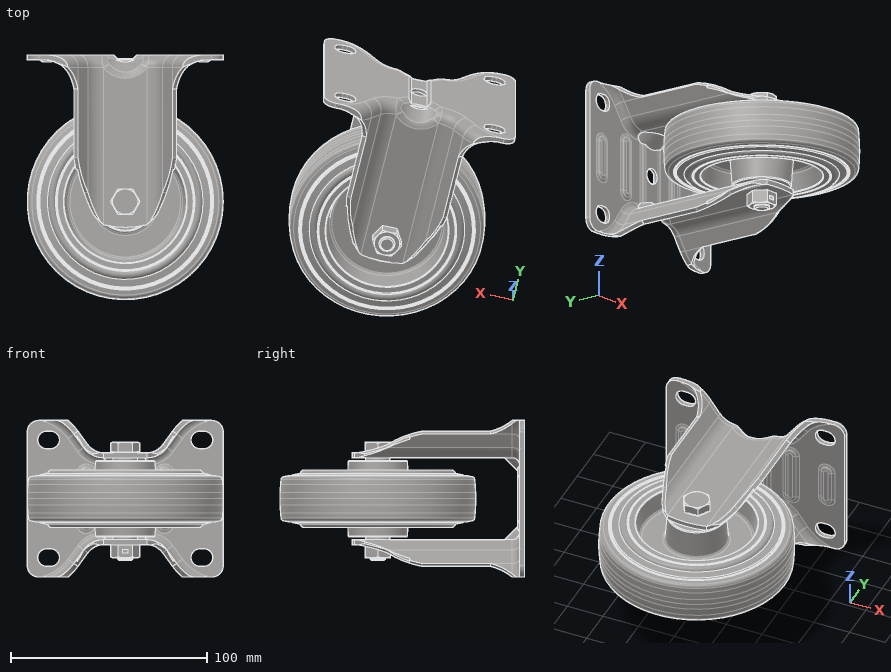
import cadquery as cq
import math


wheel_radius = 50.02
plate_width = 100.0
plate_height = 80.0
plate_back = 124.9 - wheel_radius
plate_corner_radius = 6.0
sheet = 2.6
plate_front = plate_back - sheet

web_inner = 20.9
web_outer = web_inner + sheet
web_half_width = 11.0
flange_angle = 54.0
channel_radius = 10.0
plate_bend_radius = 3.7
flange_reach = 42.1
flare_reach = 56.2
flare_start_y = 57.3
flare_middle = (45.5, 64.2)
ear_radius = 30.0
ear_angle = 20.0
nose_center_y = -13.1
nose_corner_y = -11.9
nose_neck = (16.1, -6.9)
nose_side = (21.1, 4.7)
nose_shoulder = (24.4, 16.2)
taper_start_y = 22.5
taper_middle = (39.3, 14.4)
taper_knee = (33.5, 4.7)
taper_end = (26.9, -9.4)

slot_length = 11.0
slot_width = 8.7
slot_x = 39.1
slot_z = 30.0
plate_hole_diameter = 8.2
rib_height = 1.1
rib_base = 4.6
rib_top = 1.2
long_rib_x = 20.0
long_rib_half_length = 17.7
short_rib_x = 40.0
short_rib_half_length = 13.1
pad_base = 8.6
pad_top = 4.9
pad_half_length = 17.0
recess_depth = 2.0
recess_mouth = 5.9
recess_floor = 4.0
gusset_radius = 16.0
gusset_sheet = 2.0
gusset_edge_fillet = 4.4
gusset_leg = 7.7

axle_radius = 4.0
sleeve_radius = 6.18
hex_flats = 13.0
head_height = 5.4
head_washer_radius = 6.2
head_washer_height = 0.4
nut_height = 6.6
thread_stub = 1.4
thread_chamfer = 0.7
hex_bevel = 0.4
nut_mark_width = 3.0
nut_mark_height = 1.6
nut_mark_depth = 0.4

hub_half_length = 19.6
hub_end_radius = 15.1
hub_root_radius = 16.2
hub_bevel = 0.5
hub_fillet = 1.0
disc_half_thickness = 3.7
disc_radius = 28.2
disc_fillet = 1.0
rim_inner_radius = 31.2
rim_outer_radius = 35.1
rim_half_width = 14.1
rim_bevel = 0.4
lip_start = (35.6, 14.0)
lip_crown = (38.2, 14.6)
lip_end = (39.65, 13.0)
tread_radius = 44.3
groove_half_width = 0.7
groove_floor_half_width = 0.4
groove_depth = 0.6
shoulder = (47.7, 11.4)
shoulder_rounding = (49.0, 10.9)
crown_points = [(49.5, 9.9), (49.7, 7.2), (50.0, 3.1)]

SLOPE_COS = math.cos(math.radians(flange_angle))
SLOPE_SIN = math.sin(math.radians(flange_angle))
FAR = 75.0
MARGIN = 0.1


def arc_point(center, radius, angle):
    return (
        center[0] + radius * math.cos(math.radians(angle)),
        center[1] + radius * math.sin(math.radians(angle)),
    )


def channel_block(offset, back_y, back_fillet):
    """Solid on the wheel side of one channel surface, its rear edge rounded into the plate.

    The surface lies below the outer channel surface by the offset.
    """
    web_z = web_outer - offset
    bend_radius = channel_radius + offset
    curl_radius = ear_radius - offset
    bend_center = (web_half_width, web_z + bend_radius)
    bend_end = arc_point(bend_center, bend_radius, flange_angle - 90)
    bend_middle = arc_point(bend_center, bend_radius, flange_angle / 2 - 90)
    curl_rise = flange_reach - (bend_center[0] * SLOPE_COS + bend_center[1] * SLOPE_SIN)
    curl_start = (bend_end[0] + curl_rise * SLOPE_COS, bend_end[1] + curl_rise * SLOPE_SIN)
    curl_center = arc_point(curl_start, curl_radius, flange_angle - 90)
    curl_middle = arc_point(curl_center, curl_radius, (flange_angle + ear_angle) / 2 + 90)
    curl_end = arc_point(curl_center, curl_radius, ear_angle + 90)
    far_end = (FAR, curl_end[1] + (FAR - curl_end[0]) * math.tan(math.radians(ear_angle)))
    block = (
        cq.Workplane("XZ", origin=(0, back_y, 0))
        .moveTo(0, 0)
        .lineTo(FAR, 0)
        .lineTo(*far_end)
        .lineTo(*curl_end)
        .threePointArc(curl_middle, curl_start)
        .lineTo(*bend_end)
        .threePointArc(bend_middle, (web_half_width, web_z))
        .lineTo(0, web_z)
        .close()
        .extrude(back_y + FAR)
    )
    block = block.union(block.mirror("YZ")).clean()
    rear_edge = cq.selectors.BoxSelector(
        (MARGIN - FAR, back_y - MARGIN, MARGIN), (FAR - MARGIN, back_y + MARGIN, 2 * FAR)
    )
    return block.edges(rear_edge).fillet(back_fillet)


def gusset_cylinder(radius):
    """Cylinder lying at 45 degrees across the corner between plate and web."""
    crest_y = plate_front - gusset_leg
    lift = gusset_radius / math.sqrt(2)
    plane = cq.Plane(
        origin=(0, crest_y + lift, web_inner + lift), xDir=(1, 0, 0), normal=(0, -1, 1)
    )
    return cq.Workplane(plane).circle(radius).extrude(FAR, both=True)


def flange_trim():
    """Everything beyond the edge of the flange at +X, cut square to the flange."""
    plane = cq.Plane(
        origin=(0, 0, 0), xDir=(SLOPE_COS, 0, SLOPE_SIN), normal=(-SLOPE_SIN, 0, SLOPE_COS)
    )
    return (
        cq.Workplane(plane)
        .moveTo(flare_reach, plate_front)
        .threePointArc(flare_middle, (flange_reach, flare_start_y))
        .lineTo(flange_reach, taper_start_y)
        .threePointArc(taper_middle, taper_knee)
        .lineTo(*taper_end)
        .lineTo(taper_end[0], -FAR)
        .lineTo(2 * FAR, -FAR)
        .lineTo(2 * FAR, plate_front)
        .close()
        .extrude(FAR, both=True)
    )


def nose_envelope():
    """Outline of the arm along the axle: narrowing towards a rounded nose at the wheel end."""
    def at_left(point):
        return (-point[0], point[1])

    nose_corner = (web_half_width, nose_corner_y)
    return (
        cq.Workplane("XY")
        .moveTo(-FAR, plate_back)
        .lineTo(-FAR, taper_start_y)
        .lineTo(*at_left(nose_shoulder))
        .threePointArc(at_left(nose_side), at_left(nose_neck))
        .lineTo(*at_left(nose_corner))
        .threePointArc((0, nose_center_y), nose_corner)
        .lineTo(*nose_neck)
        .threePointArc(nose_side, nose_shoulder)
        .lineTo(FAR, taper_start_y)
        .lineTo(FAR, plate_back)
        .close()
        .extrude(FAR)
    )


def plate_outline():
    return (
        cq.Workplane("XZ", origin=(0, plate_back, 0))
        .rect(plate_width, plate_height)
        .extrude(plate_back + FAR)
        .edges("|Y")
        .fillet(plate_corner_radius)
    )


def half_fork():
    """Upper half of the fork: half the plate and one arm."""
    outer = channel_block(0, plate_back, plate_bend_radius + sheet)
    inner = channel_block(sheet, plate_front, plate_bend_radius)
    gusset = gusset_cylinder(gusset_radius).intersect(outer)
    body = outer.cut(inner).union(gusset)
    body = body.cut(gusset_cylinder(gusset_radius - gusset_sheet))
    dimple_rim = cq.selectors.BoxSelector(
        (-web_half_width, plate_front - 2 * gusset_leg, web_outer - MARGIN),
        (web_half_width, plate_front - gusset_leg / 2, web_outer + MARGIN),
    )
    body = body.edges(dimple_rim).fillet(gusset_edge_fillet)
    trim = flange_trim()
    body = body.cut(trim).cut(trim.mirror("YZ"))
    return body.intersect(nose_envelope()).intersect(plate_outline())


def bulge_profile(top, base):
    """Half section of a stamped bulge: a flat top and an S-shaped side down to the plate."""
    return (
        cq.Workplane("XY")
        .moveTo(0, plate_front - rib_height)
        .lineTo(top, plate_front - rib_height)
        .tangentArcPoint(((top + base) / 2, plate_front - rib_height / 2), relative=False)
        .tangentArcPoint((base, plate_front), relative=False)
        .lineTo(0, plate_front)
        .close()
    )


def straight_bulge(top, base, half_length):
    side = bulge_profile(top, base).extrude(half_length, both=True)
    return side.union(side.mirror("YZ"))


def plate_rib(x, half_length):
    """Raised rib along Z with round ends."""
    straight = half_length - rib_base
    rib = straight_bulge(rib_top, rib_base, straight)
    end = bulge_profile(rib_top, rib_base).revolve(360, (0, 0, 0), (0, 1, 0))
    for z in (-straight, straight):
        rib = rib.union(end.translate((0, 0, z)))
    return rib.translate((x, 0, 0))


def back_recess():
    """Channel pressed into the back of the plate behind the middle pad."""
    return (
        cq.Workplane("XY")
        .moveTo(-recess_mouth, plate_back)
        .lineTo(-recess_floor, plate_back - recess_depth)
        .lineTo(recess_floor, plate_back - recess_depth)
        .lineTo(recess_mouth, plate_back)
        .close()
        .extrude(FAR, both=True)
    )


def make_fork():
    upper = half_fork()
    fork = upper.union(upper.mirror("XY"))
    fork = fork.union(straight_bulge(pad_top, pad_base, pad_half_length))
    for side in (-1, 1):
        fork = fork.union(plate_rib(side * long_rib_x, long_rib_half_length))
        fork = fork.union(plate_rib(side * short_rib_x, short_rib_half_length))
    mounting = cq.Workplane("XZ", origin=(0, plate_back, 0))
    slot_centers = [(x, z) for x in (-slot_x, slot_x) for z in (-slot_z, slot_z)]
    slots = mounting.pushPoints(slot_centers).slot2D(slot_length, slot_width).extrude(2 * sheet)
    hole = mounting.circle(plate_hole_diameter / 2).extrude(2 * sheet)
    axle_holes = cq.Workplane("XY").circle(axle_radius).extrude(FAR, both=True)
    return fork.cut(back_recess()).cut(slots).cut(hole).cut(axle_holes)


def hexagon(height, z):
    """Hexagonal prism with two flats facing along Y."""
    corner_diameter = hex_flats / math.cos(math.radians(30))
    return cq.Workplane("XY").workplane(offset=z).polygon(6, corner_diameter).extrude(height)


def bevel_cone(z, direction):
    """Cone that knocks the corners off the outer end of a hexagon ending at z."""
    radius = hex_flats / 2
    return (
        cq.Workplane("XZ")
        .moveTo(0, z)
        .lineTo(radius, z)
        .lineTo(radius + 2 * FAR, z - direction * FAR)
        .lineTo(0, z - direction * FAR)
        .close()
        .revolve(360, (0, 0, 0), (0, 1, 0))
    )


def make_bolt():
    head_top = web_outer + head_height
    tip = -(web_outer + nut_height + thread_stub)
    head = hexagon(head_height - head_washer_height, web_outer + head_washer_height)
    head = head.intersect(bevel_cone(head_top, 1))
    washer_face = (
        cq.Workplane("XY").workplane(offset=web_outer)
        .circle(head_washer_radius).extrude(head_washer_height)
    )
    shank = (
        cq.Workplane("XY").workplane(offset=tip)
        .circle(axle_radius).extrude(head_top - hex_bevel - tip)
        .faces("<Z").chamfer(thread_chamfer)
    )
    return head.union(washer_face).union(shank)


def make_nut():
    bottom = -(web_outer + nut_height)
    nut = hexagon(nut_height, bottom).intersect(bevel_cone(bottom, -1))
    bore = cq.Workplane("XY").circle(axle_radius).extrude(-FAR)
    mark = (
        cq.Workplane("XZ", origin=(0, -hex_flats / 2, bottom + nut_height / 2))
        .rect(nut_mark_width, nut_mark_height)
        .extrude(-nut_mark_depth)
    )
    return nut.cut(bore).cut(mark)


def make_sleeve():
    """Distance tube clamped between the two arms."""
    return (
        cq.Workplane("XY").circle(sleeve_radius).circle(axle_radius)
        .extrude(web_inner, both=True)
    )


def spin_both_sides(half_section):
    """Revolve a closed section lying above Z = 0 and mirror it below."""
    upper = half_section.close().revolve(360, (0, 0, 0), (0, 1, 0))
    return upper.union(upper.mirror("XY"))


def corner_arc(section, center, radius, start_angle, end_angle):
    """Line to and along an arc about a center."""
    return section.lineTo(*arc_point(center, radius, start_angle)).threePointArc(
        arc_point(center, radius, (start_angle + end_angle) / 2),
        arc_point(center, radius, end_angle),
    )


def make_wheel_core():
    """Hub, disc and rim in one piece."""
    section = (
        cq.Workplane("XZ")
        .moveTo(sleeve_radius, 0)
        .lineTo(sleeve_radius, hub_half_length)
        .lineTo(hub_end_radius - hub_bevel, hub_half_length)
        .lineTo(hub_end_radius, hub_half_length - hub_bevel)
    )
    hub_fillet_center = (hub_root_radius + hub_fillet, disc_half_thickness + hub_fillet)
    disc_fillet_center = (disc_radius, disc_half_thickness + disc_fillet)
    section = corner_arc(section, hub_fillet_center, hub_fillet, 180, 270)
    section = corner_arc(section, disc_fillet_center, disc_fillet, 270, 360)
    section = (
        section
        .lineTo(rim_inner_radius, rim_half_width - rim_bevel)
        .lineTo(rim_inner_radius + rim_bevel, rim_half_width)
        .lineTo(rim_outer_radius - rim_bevel, rim_half_width)
        .lineTo(rim_outer_radius, rim_half_width - rim_bevel)
        .lineTo(rim_outer_radius, 0)
    )
    return spin_both_sides(section)


def shoulder_z(radius):
    """Height of the sloping side wall between the lip and the tread shoulder."""
    slope = (shoulder[1] - lip_end[1]) / (shoulder[0] - lip_end[0])
    return lip_end[1] + slope * (radius - lip_end[0])


def make_tyre_base():
    """Ring with the rounded lip between the rim and the tread."""
    groove_edge = tread_radius - groove_half_width
    floor_z = shoulder_z(tread_radius) - groove_depth
    section = (
        cq.Workplane("XZ")
        .moveTo(rim_outer_radius, 0)
        .lineTo(rim_outer_radius, rim_half_width - rim_bevel)
        .lineTo(*lip_start)
        .threePointArc(lip_crown, lip_end)
        .lineTo(groove_edge, shoulder_z(groove_edge))
        .lineTo(tread_radius - groove_floor_half_width, floor_z)
        .lineTo(tread_radius, floor_z)
        .lineTo(tread_radius, 0)
    )
    return spin_both_sides(section)


def make_tread():
    groove_edge = tread_radius + groove_half_width
    floor_z = shoulder_z(tread_radius) - groove_depth
    section = (
        cq.Workplane("XZ")
        .moveTo(tread_radius, 0)
        .lineTo(tread_radius, floor_z)
        .lineTo(tread_radius + groove_floor_half_width, floor_z)
        .lineTo(groove_edge, shoulder_z(groove_edge))
        .lineTo(*shoulder)
        .threePointArc(shoulder_rounding, crown_points[0])
    )
    for point in crown_points[1:]:
        section = section.lineTo(*point)
    return spin_both_sides(section.lineTo(wheel_radius, 0))


fork = make_fork()
bolt = make_bolt()
nut = make_nut()
sleeve = make_sleeve()
wheel_core = make_wheel_core()
tyre_base = make_tyre_base()
tread = make_tread()

result = cq.Compound.makeCompound([
    fork.val(),
    bolt.val(),
    nut.val(),
    sleeve.val(),
    wheel_core.val(),
    tyre_base.val(),
    tread.val(),
])